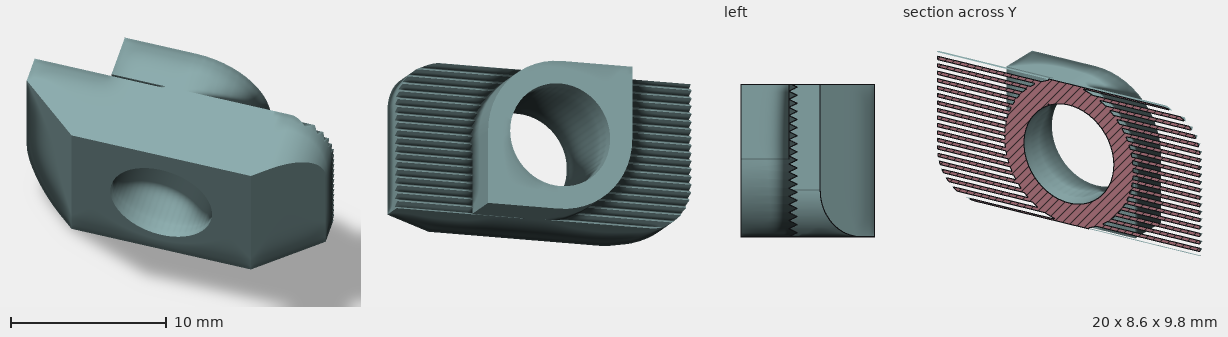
import cadquery as cq
import math

body_length = 20.0
width = 9.8
body_thickness = 5.5
boss_height = 3.1
boss_corner_radius = 5.0
body_corner_radius = 3.0
flat_length = 12.0
side_height = 2.0
hole_diameter = 6.8

tooth_pitch = 0.52
tooth_depth = 0.52
crest_flat = 0.02

half_length = body_length / 2
half_width = width / 2
half_flat = flat_length / 2


def make_block(length, y_start, y_end, corner_radius):
    """Box from y_start to y_end with its (-X, -Z) and (+X, +Z) edges rounded."""
    block = cq.Workplane("XY").box(length, y_end - y_start, width)
    block = block.translate((0, (y_start + y_end) / 2, 0))
    diagonal = cq.Vector(1, 0, 1)
    opposite_edges = cq.selectors.SumSelector(
        cq.DirectionMinMaxSelector(diagonal, True),
        cq.DirectionMinMaxSelector(diagonal, False),
    )
    return block.edges(opposite_edges).fillet(corner_radius)


def make_body():
    """Hammer-head block with a long bevel at each end towards -Y."""
    block = make_block(body_length, -body_thickness, 0, body_corner_radius)
    profile = (
        cq.Workplane("XY")
        .polyline([
            (-half_length, 0),
            (half_length, 0),
            (half_length, -side_height),
            (half_flat, -body_thickness),
            (-half_flat, -body_thickness),
            (-half_length, -side_height),
        ])
        .close()
        .extrude(half_width, both=True)
    )
    return block.intersect(profile)


def make_grooves():
    """V grooves over the -X half, crests counted from the -Z side.

    They run in under the boss and stop at the full circle of its (-X, -Z) rounded corner.
    """
    first_groove = (
        cq.Workplane("YZ")
        .polyline([
            (0, crest_flat / 2),
            (-tooth_depth, tooth_pitch / 2),
            (0, tooth_pitch - crest_flat / 2),
        ])
        .close()
        .extrude(-half_length)
    )
    grooves = cq.Workplane("XY")
    for index in range(math.ceil(width / tooth_pitch)):
        grooves = grooves.add(first_groove.translate((0, 0, index * tooth_pitch - half_width)))
    corner_center = boss_corner_radius - half_width
    uncut_disc = (
        cq.Workplane("XZ")
        .center(corner_center, corner_center)
        .circle(boss_corner_radius)
        .extrude(tooth_depth)
    )
    return grooves.combine().cut(uncut_disc)


def make_hole():
    return cq.Workplane("XZ").circle(hole_diameter / 2).extrude(body_thickness + boss_height, both=True)


left_grooves = make_grooves()
right_grooves = left_grooves.rotate((0, 0, 0), (0, 1, 0), 180)

body = make_body().cut(left_grooves).cut(right_grooves)
boss = make_block(width, 0, boss_height, boss_corner_radius)
result = body.union(boss).cut(make_hole())